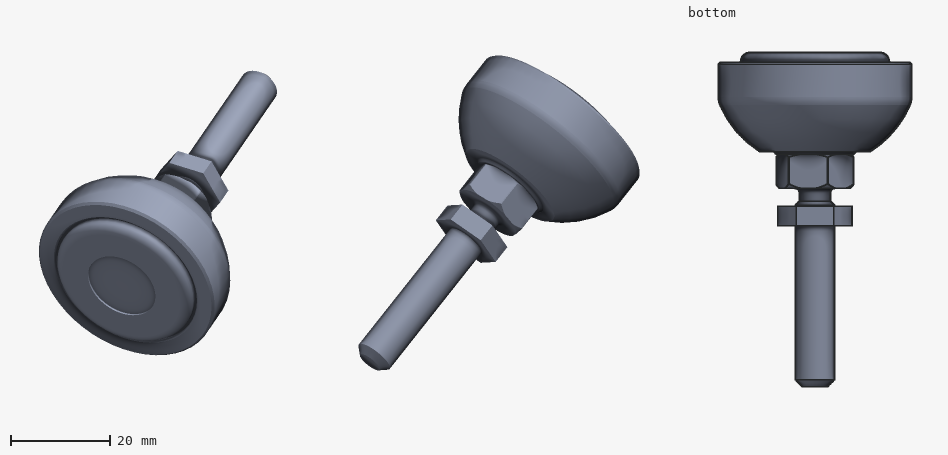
import cadquery as cq
import math

overall_length = 67.4

housing_diameter = 39.0
housing_radius = housing_diameter / 2
rim_y = 1.95
rim_chamfer = 0.5
dome_start_y = 9.0
dome_radius = 20.9
shoulder_radius = 4.0
dome_top_y = 20.0
bore_radius = 15.65
bore_chamfer = 0.35

pad_radius = 15.0
pad_edge_radius = 2.0
pad_thickness = 2.7
window_radius = 7.5
window_depth = 0.4
retainer_thickness = 2.7
retainer_top_y = pad_thickness + retainer_thickness

ball_radius = 11.4
ball_centre_y = 12.3
hexagon_bottom_y = 20.55
hexagon_top_y = 27.4
hexagon_flats = 13.9
hexagon_corner_diameter = 15.9
hexagon_turn = 11.2
hexagon_top_chamfer = 0.9
hexagon_bottom_chamfer_width = 0.8
hexagon_bottom_chamfer_height = 0.55
neck_radius = 3.2
neck_fillet = 0.8
shank_radius = 4.0
shank_bottom_y = 30.8
tip_chamfer = 1.5

nut_flats = 13.0
nut_bottom_y = 31.0
nut_thickness = 4.0


def revolve_about_y(profile):
    """Revolve a closed (radius, Y) profile a full turn about the Y axis."""
    return profile.close().revolve(360, (0, 0, 0), (0, 1, 0))


def hexagonal_prism(across_flats, bottom_y, height, turn=0.0):
    """Hexagonal prism along Y, with two corners on the X axis before it is turned."""
    across_corners = across_flats / math.cos(math.radians(30))
    prism = cq.Workplane("XZ", origin=(0, bottom_y, 0)).polygon(6, across_corners).extrude(-height)
    return prism.rotate((0, 0, 0), (0, 1, 0), turn)


def ball_section_radius(y):
    """Radius of the ball in the plane at height y."""
    return math.sqrt(ball_radius**2 - (y - ball_centre_y) ** 2)


def make_housing():
    shoulder_centre_radius = housing_radius - shoulder_radius
    centre_distance = dome_radius - shoulder_radius
    dome_slope = math.acos(shoulder_centre_radius / centre_distance)
    dome_centre_y = dome_start_y - centre_distance * math.sin(dome_slope)
    top_slope = math.asin((dome_top_y - dome_centre_y) / dome_radius)

    def on_shoulder(angle):
        return (
            shoulder_centre_radius + shoulder_radius * math.cos(angle),
            dome_start_y + shoulder_radius * math.sin(angle),
        )

    def on_dome(angle):
        return (dome_radius * math.cos(angle), dome_centre_y + dome_radius * math.sin(angle))

    outside = revolve_about_y(
        cq.Workplane("XY")
        .moveTo(0, rim_y)
        .lineTo(housing_radius - rim_chamfer, rim_y)
        .lineTo(housing_radius, rim_y + rim_chamfer)
        .lineTo(housing_radius, dome_start_y)
        .threePointArc(on_shoulder(dome_slope / 2), on_shoulder(dome_slope))
        .threePointArc(on_dome((dome_slope + top_slope) / 2), on_dome(top_slope))
        .lineTo(0, dome_top_y)
    )

    mouth_radius = ball_section_radius(dome_top_y)
    mouth_slope = math.acos(mouth_radius / ball_radius)
    socket_middle = (
        ball_radius * math.cos(mouth_slope / 2),
        ball_centre_y + ball_radius * math.sin(mouth_slope / 2),
    )
    cavity = revolve_about_y(
        cq.Workplane("XY")
        .moveTo(0, rim_y)
        .lineTo(bore_radius + bore_chamfer, rim_y)
        .lineTo(bore_radius, rim_y + bore_chamfer)
        .lineTo(bore_radius, retainer_top_y)
        .lineTo(ball_radius, retainer_top_y)
        .lineTo(ball_radius, ball_centre_y)
        .threePointArc(socket_middle, (mouth_radius, dome_top_y))
        .lineTo(0, dome_top_y)
    )
    return outside.cut(cavity)


def make_pad():
    disc = cq.Workplane("XZ").circle(pad_radius).extrude(-pad_thickness)
    disc = disc.faces("<Y").edges().fillet(pad_edge_radius)
    window = cq.Workplane("XZ").circle(window_radius).extrude(-pad_thickness)
    return disc.cut(window)


def make_retainer():
    plate = cq.Workplane("XZ", origin=(0, pad_thickness, 0)).circle(bore_radius).extrude(-retainer_thickness)
    boss = (
        cq.Workplane("XZ", origin=(0, window_depth, 0))
        .circle(window_radius)
        .extrude(window_depth - pad_thickness)
    )
    return plate.union(boss)


def make_ball_head():
    base_radius = ball_section_radius(retainer_top_y)
    collar_radius = ball_section_radius(hexagon_bottom_y)
    return revolve_about_y(
        cq.Workplane("XY")
        .moveTo(0, retainer_top_y)
        .lineTo(base_radius, retainer_top_y)
        .threePointArc((ball_radius, ball_centre_y), (collar_radius, hexagon_bottom_y))
        .lineTo(0, hexagon_bottom_y)
    )


def make_wrench_hexagon():
    corner_radius = hexagon_corner_diameter / 2
    turned_blank = revolve_about_y(
        cq.Workplane("XY")
        .moveTo(0, hexagon_bottom_y)
        .lineTo(corner_radius - hexagon_bottom_chamfer_width, hexagon_bottom_y)
        .lineTo(corner_radius, hexagon_bottom_y + hexagon_bottom_chamfer_height)
        .lineTo(corner_radius, hexagon_top_y - hexagon_top_chamfer)
        .lineTo(corner_radius - hexagon_top_chamfer, hexagon_top_y)
        .lineTo(0, hexagon_top_y)
    )
    prism = hexagonal_prism(
        hexagon_flats, hexagon_bottom_y, hexagon_top_y - hexagon_bottom_y, hexagon_turn
    )
    return prism.intersect(turned_blank)


def make_shank():
    fillet_offset = neck_fillet * (1 - math.cos(math.radians(45)))
    cone_height = shank_radius - neck_radius
    return revolve_about_y(
        cq.Workplane("XY")
        .moveTo(0, hexagon_top_y)
        .lineTo(neck_radius + neck_fillet, hexagon_top_y)
        .threePointArc(
            (neck_radius + fillet_offset, hexagon_top_y + fillet_offset),
            (neck_radius, hexagon_top_y + neck_fillet),
        )
        .lineTo(neck_radius, shank_bottom_y - cone_height)
        .lineTo(shank_radius, shank_bottom_y)
        .lineTo(shank_radius, overall_length - tip_chamfer)
        .lineTo(shank_radius - tip_chamfer, overall_length)
        .lineTo(0, overall_length)
    )


def make_stud():
    return make_ball_head().union(make_wrench_hexagon()).union(make_shank())


def make_jam_nut():
    bore = cq.Workplane("XZ", origin=(0, nut_bottom_y, 0)).circle(shank_radius).extrude(-nut_thickness)
    return hexagonal_prism(nut_flats, nut_bottom_y, nut_thickness).cut(bore)


housing = make_housing()
pad = make_pad()
retainer = make_retainer()
stud = make_stud()
jam_nut = make_jam_nut()

bodies = [housing, pad, retainer, stud, jam_nut]
result = cq.Compound.makeCompound([body.solids().val() for body in bodies])